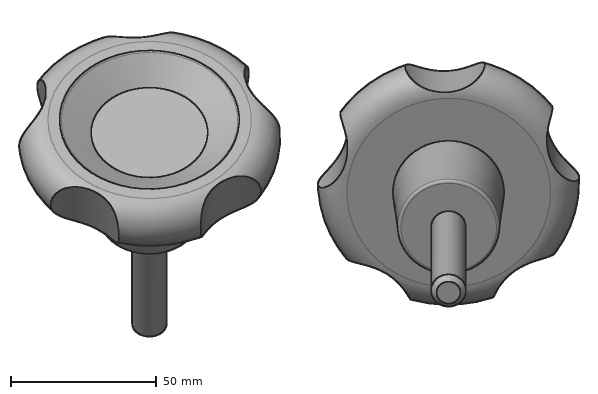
import cadquery as cq
import math

total_height = 112.0

head_radius = 45.0
head_height = 20.0
edge_radius = head_height / 2
flat_radius = head_radius - edge_radius
head_bottom = total_height - head_height
head_middle = total_height - edge_radius

scallop_count = 5
scallop_radius = 19.0
scallop_floor = 37.1
first_scallop_angle = -90.0

dish_mouth_radius = 30.9
dish_wall_radius = 30.4
dish_bevel_depth = 0.3
dish_floor_radius = 20.0
dish_depth = 7.0

hub_height = 32.0
hub_top_radius = 19.2
hub_bottom_radius = 17.5
hub_fillet = 1.1
hub_bottom = head_bottom - hub_height

stud_radius = 12.0 / 2
stud_chamfer = 1.9


def make_head():
    profile = (
        cq.Workplane("XZ")
        .moveTo(0, head_bottom)
        .lineTo(flat_radius, head_bottom)
        .threePointArc((head_radius, head_middle), (flat_radius, total_height))
        .lineTo(dish_mouth_radius, total_height)
        .lineTo(dish_wall_radius, total_height - dish_bevel_depth)
        .lineTo(dish_floor_radius, total_height - dish_depth)
        .lineTo(0, total_height - dish_depth)
        .close()
    )
    return profile.revolve(360, (0, 0, 0), (0, 1, 0))


def make_scallop_cutters():
    centre_distance = scallop_floor + scallop_radius
    return (
        cq.Workplane("XY")
        .workplane(offset=head_bottom)
        .polarArray(centre_distance, first_scallop_angle, 360, scallop_count)
        .circle(scallop_radius)
        .extrude(head_height)
    )


def make_hub():
    taper = math.degrees(math.atan((hub_top_radius - hub_bottom_radius) / hub_height))
    return (
        cq.Workplane("XY")
        .workplane(offset=head_bottom)
        .circle(hub_top_radius)
        .extrude(-hub_height, taper=taper)
        .faces("<Z")
        .edges()
        .fillet(hub_fillet)
    )


def make_stud():
    return (
        cq.Workplane("XY")
        .circle(stud_radius)
        .extrude(hub_bottom)
        .faces("<Z")
        .edges()
        .chamfer(stud_chamfer)
    )


result = make_head().cut(make_scallop_cutters()).union(make_hub()).union(make_stud())